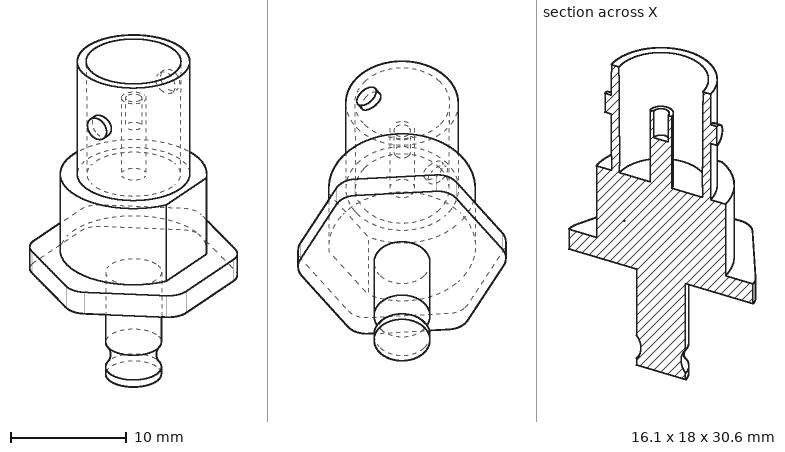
import cadquery as cq
import math

total_height = 30.6
flange_bottom = 10.0
flange_top = 12.12
body_top = 19.58

across_flats = 16.1
flange_corner_radius = 1.93

body_radius = 6.33
body_flat_x = 5.57

tube_radius = 4.87
bore_mouth_radius = 4.1
bore_floor_radius = 4.05
bore_floor = body_top

contact_radius = 1.07
contact_socket_radius = 0.7
contact_height = 7.47
contact_socket_depth = 2.75

pin_radius = 1.0
pin_tip_y = 5.48
pin_height = 26.4

stem_radius = 2.42
waist_radius = 2.0
waist_bottom = 0.7
waist_top = 3.12


def cylinder(radius, bottom, top):
    return cq.Workplane("XY").workplane(offset=bottom).circle(radius).extrude(top - bottom)


def make_stem():
    waist_middle = (waist_bottom + waist_top) / 2
    return (
        cq.Workplane("XZ")
        .lineTo(stem_radius, 0)
        .lineTo(stem_radius, waist_bottom)
        .threePointArc((waist_radius, waist_middle), (stem_radius, waist_top))
        .lineTo(stem_radius, flange_bottom)
        .lineTo(0, flange_bottom)
        .close()
        .revolve(360, (0, 0, 0), (0, 1, 0))
    )


def make_flange():
    across_corners = across_flats / math.cos(math.radians(30))
    return (
        cq.Workplane("XY", origin=(0, 0, flange_bottom))
        .transformed(rotate=(0, 0, 30))
        .polygon(6, across_corners)
        .extrude(flange_top - flange_bottom)
        .edges("|Z")
        .fillet(flange_corner_radius)
    )


def make_body():
    height = body_top - flange_top
    flat_limit = (
        cq.Workplane("XY", origin=(body_flat_x, 0, flange_top))
        .box(2 * body_radius, 2 * body_radius, height, centered=(False, True, False))
    )
    return cylinder(body_radius, flange_top, body_top).cut(flat_limit)


def make_pins():
    return (
        cq.Workplane("XZ", origin=(0, 0, pin_height))
        .circle(pin_radius)
        .extrude(pin_tip_y, both=True)
    )


def make_contact():
    contact_top = bore_floor + contact_height
    socket = cylinder(contact_socket_radius, contact_top - contact_socket_depth, contact_top)
    return cylinder(contact_radius, bore_floor, contact_top).cut(socket)


def make_bore():
    depth = total_height - bore_floor
    return (
        cq.Workplane("XZ", origin=(0, 0, bore_floor))
        .lineTo(bore_floor_radius, 0)
        .lineTo(bore_mouth_radius, depth)
        .lineTo(0, depth)
        .close()
        .revolve(360, (0, 0, 0), (0, 1, 0))
    )


outside = make_stem().union(make_flange()).union(make_body())
outside = outside.union(cylinder(tube_radius, body_top, total_height)).union(make_pins())
result = outside.cut(make_bore()).union(make_contact())